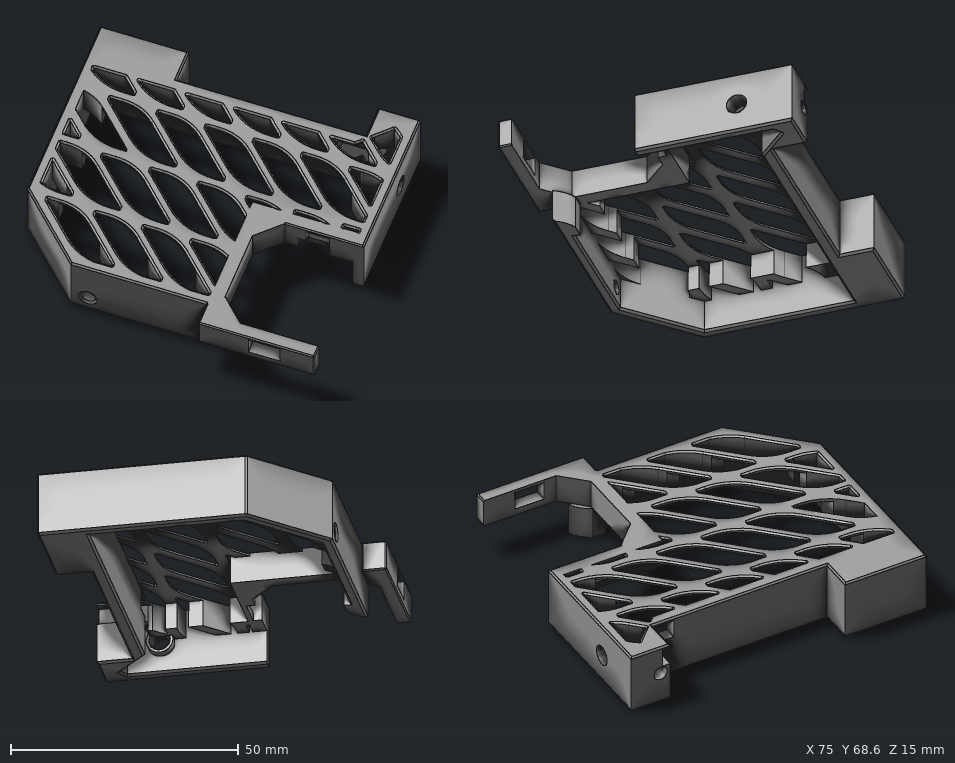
import cadquery as cq
import math

LENGTH = 75.0
DEPTH = 63.0
HEIGHT = 15.0
WALL = 2.6
REAR_WALL = 3.1
PLATE = 0.8
TOP_BEVEL = 0.4
SMALL_CHAMFER = 0.3
FOOT_BEVEL = 0.5
CORNER_CUT = 16.0

RECESS_DEPTH = 8.0
LEFT_TAB_WIDTH = 20.8
RIGHT_TAB_WIDTH = 9.9
REAR_EDGE = DEPTH - RECESS_DEPTH

FORK_BOTTOM = 8.0
ARM = 3.15
ARM_OVERHANG = 5.6
FORK_LEFT = 47.8
BAY_LEFT = FORK_LEFT + ARM
BAY_FRONT = ARM - ARM_OVERHANG
BAY_REAR = 26.3
BAY_CORNER = 5.6
FRAME_REAR = BAY_REAR + ARM
FRONT_WALL_END = 54.9
FRONT_WALL_BULGE = 0.45

PORT_LEFT = 59.6
PORT_RIGHT = 67.0
PORT_BOTTOM = 9.7
PORT_TOP = 14.2
PORT_TAB_WIDTH = 1.9
PORT_TAB_BOTTOM = 10.9
SILL_THICKNESS = 1.2

RAIL_WIDTH = 5.2
RAIL_BOTTOM = 8.0

POCKET_LEFT = 63.6
POCKET_PEAK_X = 70.6
POCKET_SHOULDER = 57.6

CELL_PITCH = 11.27
ROW_PITCH = 15.2
ROW_SHIFT = 7.45
CELL_ORIGIN = (14.92, 8.74)
CELL_HALF_WIDTH = 9.7
CELL_HALF_HEIGHT = 6.3
CELL_UPPER_RADIUS = 11.2
CELL_LOWER_RADIUS = 13.5
CELL_SIDE_SUM = 4.0
ROWS = range(4)
COLUMNS = range(-4, 8)
PLAIN_CELL = (2, -2)
CELL_BEVEL_WIDTH = 0.5
CELL_BEVEL_HEIGHT = 0.3
MIN_CELL_VOLUME = 0.5 * HEIGHT

SCREW_DIAMETER = 3.3
SINK_DEPTH = 0.5
FRONT_SCREW = (19.95, 4.0)
REAR_SCREW = (67.5, 7.9)
BOSS_DIAMETER = 6.0
SOCKET_BORE = 4.7
BOSS_LENGTH = 2.0
BOSS_CENTER = (50.0, 7.1)


def prism(points, bottom, top):
    return cq.Workplane("XY").workplane(offset=bottom).polyline(points).close().extrude(top - bottom)


def block(x0, x1, y0, y1, z0, z1):
    return cq.Workplane("XY").box(x1 - x0, y1 - y0, z1 - z0, centered=False).translate((x0, y0, z0))


def cylinder(diameter, length, start, direction):
    solid = cq.Solid.makeCylinder(diameter / 2, length, cq.Vector(*start), cq.Vector(*direction))
    return cq.Workplane(solid)


def body_outline():
    return [
        (CORNER_CUT, 0),
        (LENGTH, 0),
        (LENGTH, DEPTH),
        (LENGTH - RIGHT_TAB_WIDTH, DEPTH),
        (LENGTH - RIGHT_TAB_WIDTH, REAR_EDGE),
        (LEFT_TAB_WIDTH, REAR_EDGE),
        (LEFT_TAB_WIDTH, DEPTH),
        (0, DEPTH),
        (0, CORNER_CUT),
    ]


def cavity_outline():
    """Inside faces of the walls, with the pocket that reaches into the right tab."""
    diagonal = CORNER_CUT + WALL * (math.sqrt(2) - 1)
    right = LENGTH - WALL
    rear = REAR_EDGE - REAR_WALL
    peak_y = rear + POCKET_PEAK_X - POCKET_LEFT
    return [
        (diagonal, WALL),
        (right, WALL),
        (right, POCKET_SHOULDER),
        (POCKET_PEAK_X, peak_y),
        (POCKET_LEFT, rear),
        (WALL, rear),
        (WALL, diagonal),
    ]


def rail_opening_outline():
    """Free space between the rails; there is no rail along the rear wall or the cut corner."""
    inset = WALL + RAIL_WIDTH
    right = LENGTH - inset
    rear = REAR_EDGE - REAR_WALL
    diagonal = CORNER_CUT + WALL * math.sqrt(2) - inset
    return [(diagonal, inset), (right, inset), (right, rear), (inset, rear), (inset, diagonal)]


def arc_points(radius):
    """Start, middle and end of the arc that turns a cell's level edge into its 45 degree side."""
    end_y = CELL_HALF_HEIGHT - radius * (1 - math.cos(math.pi / 4))
    end_x = CELL_SIDE_SUM - end_y
    start_x = end_x - radius * math.sin(math.pi / 4)
    middle_x = start_x + radius * math.sin(math.pi / 8)
    middle_y = CELL_HALF_HEIGHT - radius * (1 - math.cos(math.pi / 8))
    return (start_x, CELL_HALF_HEIGHT), (middle_x, middle_y), (end_x, end_y)


def opposite(point):
    return (-point[0], -point[1])


def cell(row, column):
    """Lens leaning along the 45 degree diagonal: two arcs joined by two parallel straight sides."""
    center_x = CELL_ORIGIN[0] + column * CELL_PITCH + row * ROW_SHIFT
    center_y = CELL_ORIGIN[1] + row * ROW_PITCH
    side_end = (CELL_HALF_WIDTH, CELL_SIDE_SUM - CELL_HALF_WIDTH)
    tip = (CELL_HALF_WIDTH, -CELL_HALF_HEIGHT)
    upper_start, upper_middle, upper_end = arc_points(CELL_UPPER_RADIUS)
    lower_start, lower_middle, lower_end = map(opposite, arc_points(CELL_LOWER_RADIUS))
    outline = (
        cq.Workplane("XY")
        .center(center_x, center_y)
        .moveTo(*opposite(tip))
        .lineTo(*upper_start)
        .threePointArc(upper_middle, upper_end)
        .lineTo(*side_end)
        .lineTo(*tip)
        .lineTo(*lower_start)
        .threePointArc(lower_middle, lower_end)
        .lineTo(*opposite(side_end))
        .close()
    )
    return outline.extrude(HEIGHT)


def cavity_mouth():
    """Bevel around the open bottom of the cavity."""
    rim = cq.Workplane("XY").polyline(cavity_outline()).close().offset2D(FOOT_BEVEL, "intersection")
    return rim.extrude(FOOT_BEVEL, taper=45)


def shell():
    body = prism(body_outline(), 0, HEIGHT)
    body = body.edges("|Z and <X").chamfer(SMALL_CHAMFER)
    body = body.faces(">Z").edges().chamfer(TOP_BEVEL)
    body = body.faces("<Z").edges().chamfer(FOOT_BEVEL)
    body = body.cut(prism(cavity_outline(), 0, RAIL_BOTTOM)).cut(cavity_mouth())
    return body.cut(prism(rail_opening_outline(), 0, HEIGHT - PLATE))


def cut_lattice(body):
    field = prism(cavity_outline(), 0, HEIGHT)
    for row in ROWS:
        for column in COLUMNS:
            opening = cell(row, column).intersect(field)
            if not opening.vals() or opening.val().Volume() < MIN_CELL_VOLUME:
                continue
            if (row, column) != PLAIN_CELL:
                opening = flare(opening)
            body = body.cut(opening)
    return body


def flare(opening):
    """Widen an opening by a bevel at the top of the plate."""
    rim = opening.faces(">Z").wires().val()
    wide = rim.offset2D(CELL_BEVEL_WIDTH, "arc")[0]
    lower = rim.translate(cq.Vector(0, 0, -CELL_BEVEL_HEIGHT))
    cone = cq.Solid.makeLoft([lower, wide], True)
    return opening.union(cq.Workplane(cone))


def fork_frame():
    """C-shaped frame: rear arm, web and overhanging front arm."""
    front = -ARM_OVERHANG
    mouth = BAY_LEFT + BAY_CORNER
    web = block(FORK_LEFT, LENGTH - WALL / 2, 0, FRAME_REAR, FORK_BOTTOM, HEIGHT)
    overhang = block(FORK_LEFT, LENGTH, front, 0, FORK_BOTTOM, HEIGHT)
    overhang = overhang.edges("<Y or <X or >X").chamfer(SMALL_CHAMFER)
    bay = prism(
        [
            (LENGTH, BAY_FRONT),
            (LENGTH, BAY_REAR),
            (mouth, BAY_REAR),
            (BAY_LEFT, BAY_REAR - BAY_CORNER),
            (BAY_LEFT, BAY_FRONT + BAY_CORNER),
            (mouth, BAY_FRONT),
        ],
        FORK_BOTTOM,
        HEIGHT,
    )
    return web.union(overhang).cut(bay)


def cut_ports(frame):
    front_port = block(PORT_LEFT, PORT_RIGHT, -ARM_OVERHANG, BAY_FRONT, PORT_BOTTOM, PORT_TOP)
    sill_front = FRAME_REAR - SILL_THICKNESS
    recess = block(PORT_LEFT, PORT_RIGHT, BAY_REAR, sill_front, FORK_BOTTOM, PORT_TOP)
    rear_port = block(PORT_LEFT, PORT_RIGHT, sill_front, FRAME_REAR, PORT_BOTTOM, PORT_TOP)
    tab_right = PORT_LEFT + PORT_TAB_WIDTH
    tab = block(PORT_LEFT, tab_right, BAY_REAR, FRAME_REAR, PORT_TAB_BOTTOM, PORT_TOP)
    return frame.cut(front_port).cut(recess).cut(rear_port).union(tab)


def front_wall_end():
    """Slanted, slightly bulging end of the front wall below the fork."""
    reach = FRONT_WALL_END - BAY_LEFT
    middle = reach / 2 + FRONT_WALL_BULGE / math.sqrt(2)
    return (
        cq.Workplane("XY")
        .moveTo(FORK_LEFT, 0)
        .lineTo(FRONT_WALL_END, 0)
        .threePointArc((BAY_LEFT + middle, middle), (BAY_LEFT, reach))
        .lineTo(FORK_LEFT, reach)
        .close()
        .extrude(FORK_BOTTOM)
        .edges("<Z and <Y")
        .chamfer(FOOT_BEVEL)
    )


def bay_edge_bevel():
    """Wedge that bevels the top edge of the rear arm along the bay."""
    return (
        cq.Workplane("YZ")
        .workplane(offset=BAY_LEFT + BAY_CORNER)
        .moveTo(BAY_REAR, HEIGHT)
        .lineTo(BAY_REAR + SMALL_CHAMFER, HEIGHT)
        .lineTo(BAY_REAR, HEIGHT - SMALL_CHAMFER)
        .close()
        .extrude(LENGTH - BAY_LEFT - BAY_CORNER)
    )


def clear_fork(body):
    """Open the corner for the fork, leaving the right wall behind the bay below the rear arm."""
    inner_right = LENGTH - WALL
    corner = [
        (FORK_LEFT, -ARM),
        (LENGTH + ARM, -ARM),
        (LENGTH + ARM, BAY_REAR),
        (inner_right, BAY_REAR),
        (inner_right, FRAME_REAR),
        (FORK_LEFT, FRAME_REAR),
    ]
    return body.cut(prism(corner, -ARM, HEIGHT + ARM))


def add_fork(body):
    body = body.union(cut_ports(fork_frame()))
    body = body.union(front_wall_end())
    return body.cut(bay_edge_bevel())


def cut_screw_holes(body):
    along_y = (0, 1, 0)
    front_start = (FRONT_SCREW[0], 0, FRONT_SCREW[1])
    front = cylinder(SCREW_DIAMETER, WALL + RAIL_WIDTH, front_start, along_y)
    sink = cq.Solid.makeCone(
        SCREW_DIAMETER / 2 + SINK_DEPTH,
        SCREW_DIAMETER / 2,
        SINK_DEPTH,
        cq.Vector(*front_start),
        cq.Vector(*along_y),
    )
    rear_start = REAR_EDGE - REAR_WALL
    rear = cylinder(SCREW_DIAMETER, DEPTH - rear_start, (REAR_SCREW[0], rear_start, REAR_SCREW[1]), along_y)
    return body.cut(front).cut(cq.Workplane(sink)).cut(rear)


def add_socket(body):
    along_x = (1, 0, 0)
    start = (LENGTH - WALL - BOSS_LENGTH, BOSS_CENTER[0], BOSS_CENTER[1])
    boss = cylinder(BOSS_DIAMETER, BOSS_LENGTH + WALL / 2, start, along_x)
    bore = cylinder(SOCKET_BORE, BOSS_LENGTH + WALL, start, along_x)
    return body.union(boss).cut(bore)


def cut_rear_port(body):
    """Clear the line through both ports to the rear, which also notches the right tab."""
    return body.cut(block(PORT_LEFT, PORT_RIGHT, FRAME_REAR, DEPTH, PORT_BOTTOM, PORT_TOP))


result = clear_fork(shell())
result = cut_lattice(result)
result = add_fork(result)
result = cut_screw_holes(result)
result = add_socket(result)
result = cut_rear_port(result)